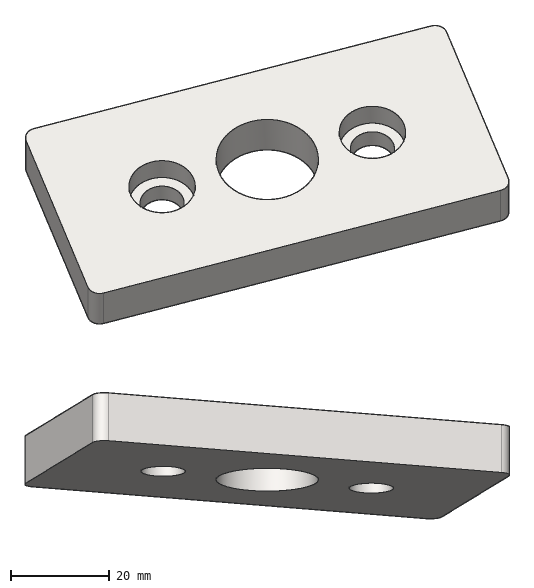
import cadquery as cq

length = 90.0
width = length / 2
thickness = 10.0
corner_radius = 2.5

center_bore_diameter = 20.8
screw_hole_diameter = 9.0
counterbore_diameter = 13.5
counterbore_depth = 5.5
screw_spacing = length / 2

plate = (
    cq.Workplane("XY")
    .box(width, length, thickness, centered=(True, True, False))
    .edges("|Z")
    .fillet(corner_radius)
)

plate = plate.faces(">Z").workplane(origin=(0, 0, thickness)).hole(center_bore_diameter)

result = (
    plate.faces(">Z")
    .workplane(origin=(0, 0, thickness))
    .pushPoints([(0, -screw_spacing / 2), (0, screw_spacing / 2)])
    .cboreHole(screw_hole_diameter, counterbore_diameter, counterbore_depth)
)